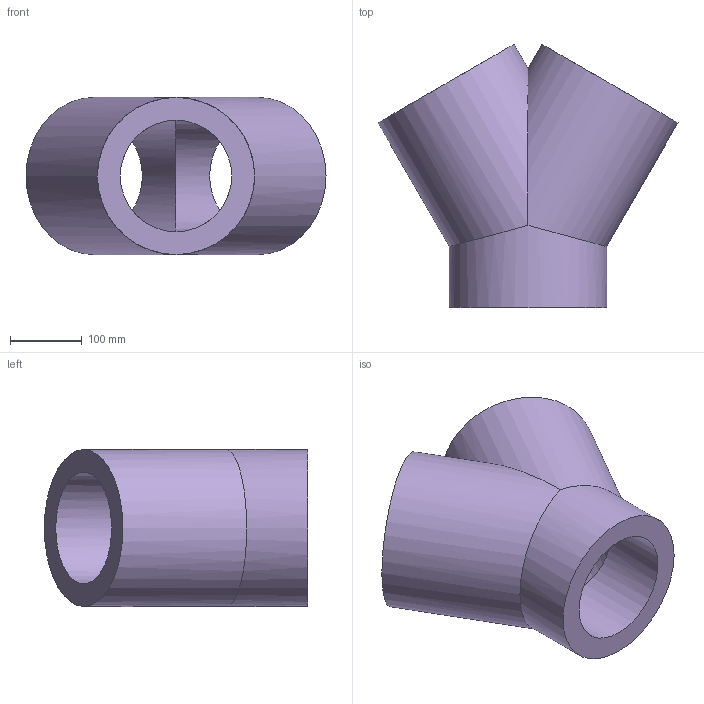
import cadquery as cq
import math

outer_diameter = 219.075
bore_diameter = 155.575
inlet_length = 114.3
branch_length = 228.6
branch_angle = 30.0

origin = cq.Vector(0, 0, 0)


def leg_direction(angle):
    """Unit vector in the XY plane, turned by angle from +Y toward +X."""
    turn = math.radians(angle)
    return cq.Vector(math.sin(turn), math.cos(turn), 0)


legs = [
    (inlet_length, leg_direction(180)),
    (branch_length, leg_direction(branch_angle)),
    (branch_length, leg_direction(-branch_angle)),
]


def joined_cylinders(diameter):
    """Union of one cylinder of the given diameter along every leg."""
    body = cq.Workplane("XY")
    for length, direction in legs:
        leg = cq.Solid.makeCylinder(diameter / 2, length, origin, direction)
        body = body.add(leg)
    return body.combine()


def make_wye():
    """Outer legs with the matching bores removed."""
    return joined_cylinders(outer_diameter).cut(joined_cylinders(bore_diameter))


result = make_wye()